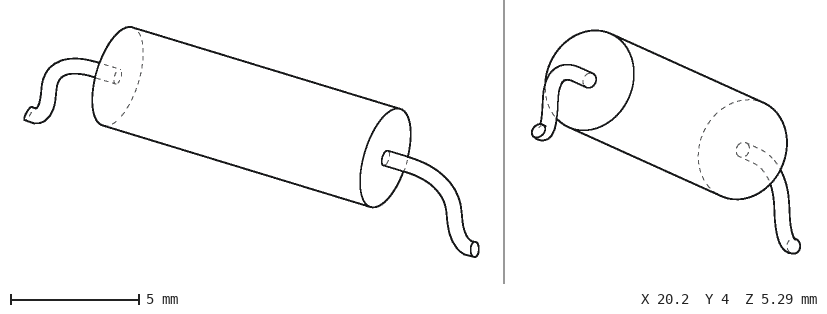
import math

import cadquery as cq

body_diameter = 4.0
body_length = 12.0
lead_diameter = 0.6
straight_lead_length = 1.0

shoulder_reach, shoulder_drop = 2.02, 1.23
ankle_reach, ankle_drop = 2.2, 2.4
foot_reach, foot_drop = 3.0, 2.96
foot_rise_angle = math.radians(15.5)

bend_start_x = body_length / 2 + straight_lead_length


def centred_cylinder(diameter, length):
    """Cylinder along X, centred on the origin."""
    return cq.Workplane("YZ", origin=(-length / 2, 0, 0)).circle(diameter / 2).extrude(length)


def make_bent_lead():
    """Wire on the +X side, curving down from the axis and turning out into a foot."""
    bend_points = [
        (bend_start_x, 0),
        (bend_start_x + shoulder_reach, -shoulder_drop),
        (bend_start_x + ankle_reach, -ankle_drop),
        (bend_start_x + foot_reach, -foot_drop),
    ]
    start_direction = (1, 0)
    end_direction = (math.cos(foot_rise_angle), math.sin(foot_rise_angle))
    path = cq.Workplane("XZ").spline(bend_points, tangents=[start_direction, None, None, end_direction])
    profile = cq.Workplane("YZ", origin=(bend_start_x, 0, 0)).circle(lead_diameter / 2)
    return profile.sweep(path)


body = centred_cylinder(body_diameter, body_length)
straight_lead = centred_cylinder(lead_diameter, 2 * bend_start_x)
bent_lead = make_bent_lead()
result = body.union(straight_lead).union(bent_lead).union(bent_lead.mirror("YZ"))